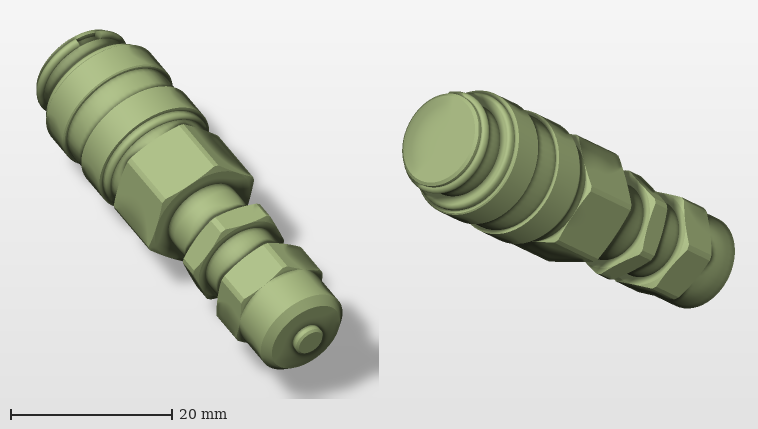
import cadquery as cq
import math


BODY_D = 12.0
NOSE_CHAMFER_LENGTH = 0.25
NOSE_CHAMFER_DEPTH = 0.4

GROOVE_D = 10.7
RING_WIRE_D = 1.25
RING_X = 1.4
RING_GAP_START = -7.0
RING_GAP_ANGLE = 30.0

SLEEVE_START = 4.6
SLEEVE_END = 19.1
SLEEVE_D = 15.1
SLEEVE_FILLET = 0.5
COLLAR_D = 16.15
COLLAR_CHAMFER = 0.15
FRONT_COLLAR = (5.6, 9.8)
REAR_COLLAR = (13.85, 18.05)

NECK_D = 14.0
HEX_SIDES = 6
HEX_CHAMFER = 0.25
BODY_HEX = {"start": 20.6, "end": 29.2, "flats": NECK_D, "corner_d": 15.8, "angle": 46.0}
LOCK_NUT = {"start": 34.85, "end": 37.8, "flats": 12.0, "corner_d": 13.5, "angle": 10.5}
CAP_HEX = {"start": 42.1, "end": 47.15, "flats": 12.0, "corner_d": 13.5, "angle": 37.3}

STEM_D = 10.0
CAP_END = 53.05
CAP_CHAMFER = (BODY_D - STEM_D) / 2
TIP_D = 3.95
TIP_CHAMFER = 0.25
TOTAL_LENGTH = 54.15


def cylinder(start, end, diameter):
    """Solid cylinder on the X axis from start to end."""
    return cq.Workplane("YZ", origin=(start, 0, 0)).circle(diameter / 2).extrude(end - start)


def make_nose():
    """Front cylinder with a shallow end chamfer and the snap ring groove."""
    nose = cylinder(0, SLEEVE_START, BODY_D)
    nose = nose.faces("<X").chamfer(NOSE_CHAMFER_LENGTH, NOSE_CHAMFER_DEPTH)
    groove_start = RING_X - RING_WIRE_D / 2
    groove_end = RING_X + RING_WIRE_D / 2
    groove = cylinder(groove_start, groove_end, COLLAR_D).cut(
        cylinder(groove_start, groove_end, GROOVE_D)
    )
    return nose.cut(groove)


def make_sleeve():
    """Sleeve with rounded ends, a chamfered front collar and a square rear collar."""
    sleeve = cylinder(SLEEVE_START, SLEEVE_END, SLEEVE_D).edges().fillet(SLEEVE_FILLET)
    front_collar = cylinder(*FRONT_COLLAR, COLLAR_D).edges().chamfer(COLLAR_CHAMFER)
    rear_collar = cylinder(*REAR_COLLAR, COLLAR_D)
    return sleeve.union(front_collar).union(rear_collar)


def make_hexagon(start, end, flats, corner_d, angle):
    """Hexagonal prism with turned corners and both ends chamfered down to the flats."""
    sharp_corner_d = flats / math.cos(math.pi / HEX_SIDES)
    prism = (
        cq.Workplane("YZ", origin=(start, 0, 0))
        .polygon(HEX_SIDES, sharp_corner_d)
        .extrude(end - start)
        .rotate((0, 0, 0), (1, 0, 0), -angle)
    )
    chamfer_depth = (corner_d - flats) / 2
    turned = cylinder(start, end, corner_d)
    for end_face in ("<X", ">X"):
        turned = turned.faces(end_face).chamfer(HEX_CHAMFER, chamfer_depth)
    return prism.intersect(turned)


def make_cap():
    """Rear cap cylinder with a wide end chamfer."""
    return cylinder(CAP_HEX["end"], CAP_END, BODY_D).faces(">X").chamfer(CAP_CHAMFER)


def make_tip():
    """Small chamfered spigot at the rear end."""
    return cylinder(CAP_END, TOTAL_LENGTH, TIP_D).faces(">X").chamfer(TIP_CHAMFER)


def make_coupling():
    """Complete coupling body without the snap ring."""
    neck = cylinder(SLEEVE_END, BODY_HEX["start"], NECK_D)
    stem = cylinder(BODY_HEX["end"], CAP_HEX["start"], STEM_D)
    coupling = make_nose().union(make_sleeve()).union(neck).union(stem)
    for hexagon in (BODY_HEX, LOCK_NUT, CAP_HEX):
        coupling = coupling.union(make_hexagon(**hexagon))
    return coupling.union(make_cap()).union(make_tip())


def make_snap_ring():
    """Open round-wire ring resting on the groove floor."""
    wire_center_radius = (GROOVE_D + RING_WIRE_D) / 2
    ring = (
        cq.Workplane("XZ")
        .center(RING_X, wire_center_radius)
        .circle(RING_WIRE_D / 2)
        .revolve(360 - RING_GAP_ANGLE, (0, -wire_center_radius, 0), (1, -wire_center_radius, 0))
    )
    return ring.rotate((0, 0, 0), (1, 0, 0), -RING_GAP_START)


coupling = make_coupling()
snap_ring = make_snap_ring()

result = cq.Compound.makeCompound([coupling.val(), snap_ring.val()])